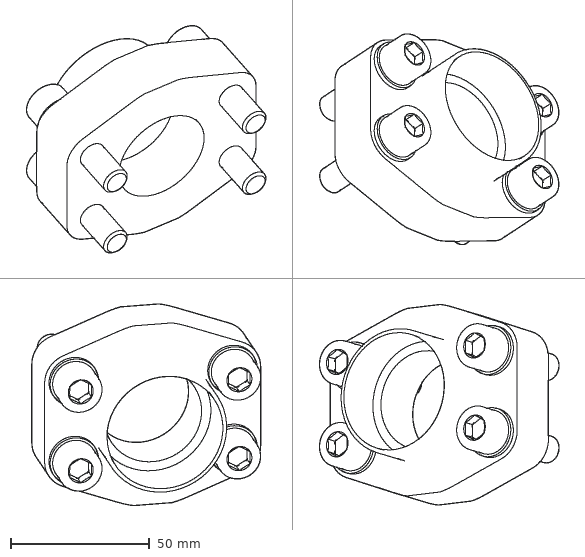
import cadquery as cq
import math

plate_width = 80.0
plate_height = 69.0
plate_thickness = 21.0
crown_radius = 35.2
bore_diameter = 36.0

collar_length = 20.0
collar_diameter = 46.0
collar_bore_diameter = 42.9
collar_bore_depth = 19.5
collar_rim_round = 0.8
collar_root_round = 1.0

screw_spacing_y = 58.7
screw_spacing_z = 30.2
washer_diameter = 18.0
washer_thickness = 1.8
head_diameter = 16.2
head_length = 10.2
head_round = 1.0
shank_diameter = 10.0
shank_protrusion = 17.0
shank_chamfer = 1.0

hex_across_flats = 8.0
hex_depth = 5.0
hex_cone_angle = 120.0

plate_front = collar_length
plate_back = plate_front + plate_thickness
washer_start = plate_front - washer_thickness
head_start = washer_start - head_length
screw_y = screw_spacing_y / 2
screw_z = screw_spacing_z / 2
corner_radius = plate_width / 2 - screw_y
collar_radius = collar_diameter / 2
hex_corner_radius = hex_across_flats / math.sqrt(3)
hex_cone_length = hex_corner_radius / math.tan(math.radians(hex_cone_angle / 2))
screw_centers = [(side_y * screw_y, side_z * screw_z) for side_y in (-1, 1) for side_z in (-1, 1)]


def disc(diameter, start, length, center=(0, 0)):
    """Cylinder along +X from x = start, centred on the given (y, z)."""
    return cq.Workplane("YZ", origin=(start, *center)).circle(diameter / 2).extrude(length)


def arc_point(radius, angle, center=(0, 0)):
    """Point on a circle in the YZ plane."""
    return center[0] + radius * math.cos(angle), center[1] + radius * math.sin(angle)


def make_plate():
    """Corner arcs around the screws, joined by tangent lines to a crown circle cut flat top and bottom."""
    corner = (screw_y, screw_z)
    corner_distance = math.hypot(screw_y, screw_z)
    tangent_angle = math.atan2(screw_z, screw_y) + math.acos((crown_radius - corner_radius) / corner_distance)
    flat_angle = math.asin(plate_height / 2 / crown_radius)
    crown_middle_angle = (tangent_angle + flat_angle) / 2

    quarter = (
        cq.Workplane("YZ", origin=(plate_front, 0, 0))
        .lineTo(plate_width / 2, 0)
        .lineTo(plate_width / 2, screw_z)
        .threePointArc(
            arc_point(corner_radius, tangent_angle / 2, corner),
            arc_point(corner_radius, tangent_angle, corner),
        )
        .lineTo(*arc_point(crown_radius, tangent_angle))
        .threePointArc(arc_point(crown_radius, crown_middle_angle), arc_point(crown_radius, flat_angle))
        .lineTo(0, plate_height / 2)
        .close()
        .extrude(plate_thickness)
    )
    half = quarter.union(quarter.mirror("XZ"))
    return half.union(half.mirror("XY")).clean()


def make_collar():
    """Solid collar with a rounded rim and a concave fillet where it meets the plate."""
    arc_inset = 1 - math.sqrt(0.5)
    rim_inset = collar_rim_round * arc_inset
    root_inset = collar_root_round * arc_inset
    return (
        cq.Workplane("XY")
        .lineTo(0, collar_radius - collar_rim_round)
        .threePointArc((rim_inset, collar_radius - rim_inset), (collar_rim_round, collar_radius))
        .lineTo(plate_front - collar_root_round, collar_radius)
        .threePointArc(
            (plate_front - root_inset, collar_radius + root_inset),
            (plate_front, collar_radius + collar_root_round),
        )
        .lineTo(plate_front, 0)
        .close()
        .revolve(360, (0, 0, 0), (1, 0, 0))
    )


def make_hex_cone(start, center):
    """Cone narrowing along +X, as wide at its base as the hexagon across its corners."""
    base = cq.Vector(start, *center)
    direction = cq.Vector(1, 0, 0)
    return cq.Workplane(obj=cq.Solid.makeCone(hex_corner_radius, 0, hex_cone_length, base, direction))


def make_hex_socket(center):
    """Hexagon with corners towards +Z and -Z, a countersunk mouth and a conical bottom."""
    corners = [arc_point(hex_corner_radius, math.radians(30 + 60 * i)) for i in range(6)]
    hexagon = cq.Workplane("YZ", origin=(head_start, *center)).polyline(corners).close().extrude(hex_depth)
    mouth = make_hex_cone(head_start, center)
    bottom = make_hex_cone(head_start + hex_depth, center)
    return hexagon.union(mouth).union(bottom)


def make_head(center):
    """Washer and rounded screw head with its hexagonal socket."""
    washer = disc(washer_diameter, washer_start, washer_thickness, center)
    head = disc(head_diameter, head_start, head_length, center).faces("<X").edges().fillet(head_round)
    return washer.union(head).cut(make_hex_socket(center))


def make_shank(center):
    """Screw end standing out behind the plate."""
    return disc(shank_diameter, plate_back, shank_protrusion, center).faces(">X").chamfer(shank_chamfer)


result = make_plate().union(make_collar())
result = result.cut(disc(collar_bore_diameter, 0, collar_bore_depth))
result = result.cut(disc(bore_diameter, 0, plate_back))
for screw_center in screw_centers:
    result = result.union(make_head(screw_center)).union(make_shank(screw_center))